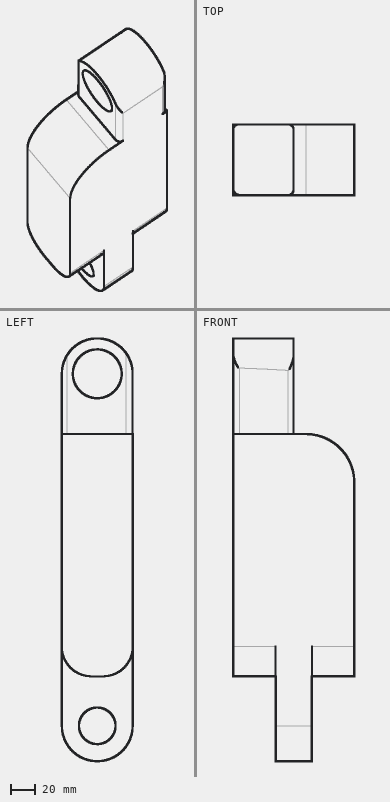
import cadquery as cq

width = 100.0
thickness = 58.5
height = 348.7
end_radius = thickness / 2

body_bottom = 70.0
body_height = 200.0
body_top = body_bottom + body_height
top_corner_radius = 40.0
bottom_edge_radius = 24.5

lower_lug_width = 30.0
lower_hole_diameter = 30.0
lower_hole_z = end_radius

upper_lug_inset = 0.07
upper_lug_width = 50.0
upper_lug_end = upper_lug_inset + upper_lug_width
upper_hole_diameter = 40.0
upper_hole_z = height - end_radius
front_left_corner_radius = 5.2
other_corner_radius = 4.5
skew_inset_left = 0.42
skew_inset_right = 0.1


def box(x_start, x_size, z_start, z_size):
    """Full-thickness block, centred on Y."""
    block = cq.Workplane("XY").box(x_size, thickness, z_size, centered=(False, True, False))
    return block.translate((x_start, 0, z_start))


def x_cylinder(diameter, z):
    """Cylinder along X across the whole width."""
    return cq.Workplane("YZ").center(0, z).circle(diameter / 2).extrude(width)


def make_body():
    body = box(0, width, body_bottom, body_height)
    body = body.edges(">X and >Z").fillet(top_corner_radius)
    return body.edges("<Z and |X").fillet(bottom_edge_radius)


def rounded_lug(x_start, x_size, z_hole, z_flat):
    """Lug with a full round end about its hole axis and a flat end at z_flat."""
    block = box(x_start, x_size, min(z_hole, z_flat), abs(z_flat - z_hole))
    round_end = cq.Workplane("YZ", origin=(x_start, 0, z_hole)).circle(end_radius).extrude(x_size)
    return block.union(round_end)


def make_lower_lug():
    x_start = (width - lower_lug_width) / 2
    return rounded_lug(x_start, lower_lug_width, lower_hole_z, body_bottom + bottom_edge_radius)


def make_upper_lug():
    left_front = (upper_lug_inset, -end_radius + skew_inset_left)
    right_front = (upper_lug_end, -end_radius + skew_inset_right)
    right_back = (upper_lug_end, end_radius)
    left_back = (upper_lug_inset, end_radius)
    plan = cq.Workplane("XY", origin=(0, 0, body_top)).polyline([left_front, right_front, right_back, left_back])
    column = plan.close().extrude(height - body_top)
    corner_radii = [
        (left_front, front_left_corner_radius),
        (right_front, other_corner_radius),
        (right_back, other_corner_radius),
        (left_back, other_corner_radius),
    ]
    for (x, y), radius in corner_radii:
        corner_edge = cq.selectors.NearestToPointSelector((x, y, (body_top + height) / 2))
        column = column.edges(corner_edge).fillet(radius)
    return column.intersect(rounded_lug(upper_lug_inset, upper_lug_width, upper_hole_z, body_top))


result = (
    make_body()
    .union(make_lower_lug())
    .union(make_upper_lug())
    .cut(x_cylinder(lower_hole_diameter, lower_hole_z))
    .cut(x_cylinder(upper_hole_diameter, upper_hole_z))
)